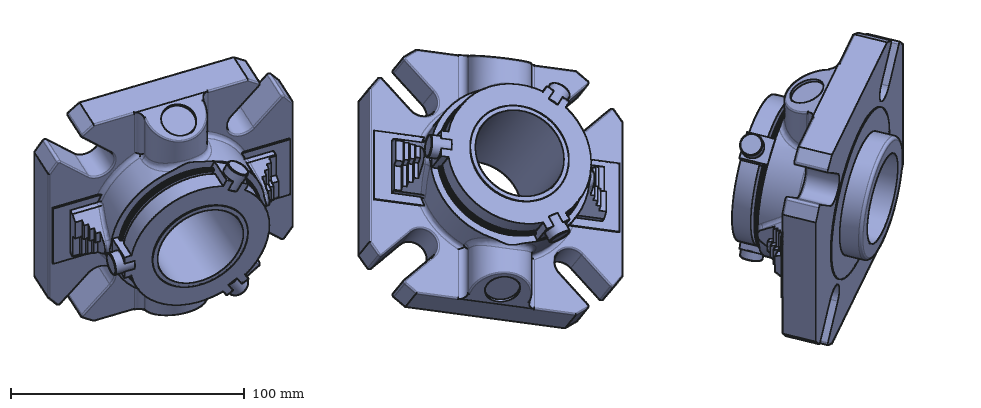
import cadquery as cq
import math

side = 114.3
half = side / 2
plate_thick = 15.4
plate_edge_round = 0.7
slot_radius = 7.1
slot_centre = 33.5
corner_start = 36.0
corner_drop = 0.745
tip_round = 1.1

spigot_disc_dia = 76.0
spigot_disc_thick = 0.5
spigot_dia = 54.9
spigot_end = -10.4
spigot_round = 1.5
sleeve_dia = 44.5
sleeve_end = 47.2
bore_dia = 40.0

hub_radius = 36.0
hub_end = 33.7
hub_base_round = 2.1

boss_radius = 14.0
boss_root = 19.3
boss_flare = 3.2
boss_slope = 21.3
boss_edge_round = 0.7
boss_blend = 2.7
recess_dia = 15.2
recess_x = 23.9
recess_depth = 1.4

rib_top = 47.4
rib_half_width = 12.2
rib_root = 18.9
rib_angle = 35.0
rib_nose_radius = 4.3
step_count = 4
step_size = 2.0
first_step_x = 22.0
first_step_drop = 3.2
step_shift = 2.6
stagger_half = 0.7
pad_outer = 55.3
pad_half_width = 16.0
pad_thick = 0.8
rib_blend = 1.8

seal_dia = 66.4
seal_lips = (34.7, 35.8)
seal_lip_thick = 0.5
collar_dia = 64.9
collar_start = 38.1
collar_end = 46.6
gap_start = 36.6
lug_half_width = 6.0
lug_inner = 30.5
lug_outer = 35.2
screw_count = 3
screw_dia = 10.0
screw_top = 39.7
screw_chamfer = 0.3

buried = 22.9
overlap = 1.1
tolerance = 0.01
overrun = 6.9


def disc(diameter, start, end):
    """Cylinder on the bearing axis between two X positions."""
    return cq.Workplane("YZ", origin=(start, 0, 0)).circle(diameter / 2).extrude(end - start)


def turned(body, angle):
    """Body turned about the bearing axis."""
    return body.rotate((0, 0, 0), (1, 0, 0), angle)


def box(x0, x1, y0, y1, z0, z1):
    """Block between the given limits."""
    return cq.Workplane("XY").box(x1 - x0, y1 - y0, z1 - z0, centered=False).translate((x0, y0, z0))


def make_plate():
    """Square flange with a diagonal open slot and two bevels at every corner."""
    bevel_apex = (half + corner_drop * corner_start) / (1 + corner_drop)
    bevels = [(corner_start, half), (half, half), (half, corner_start), (bevel_apex, bevel_apex)]
    corner = cq.Workplane("YZ").polyline(bevels).close().extrude(plate_thick)
    centre = slot_centre * math.sqrt(2)
    slot = cq.Workplane("YZ").center(centre, 0).circle(slot_radius).extrude(plate_thick)
    slot = slot.union(box(0, plate_thick, centre, side, -slot_radius, slot_radius))
    corner = corner.union(turned(slot, 45))

    plate = cq.Workplane("YZ").rect(side, side).extrude(plate_thick)
    for k in range(4):
        plate = plate.cut(turned(corner, 90 * k))

    tip_low = (half + corner_drop * corner_start - slot_radius * math.sqrt(2)) / (1 + corner_drop)
    tip_high = tip_low + slot_radius * math.sqrt(2)
    for y, z in ((tip_low, tip_high), (tip_high, tip_low)):
        for sy in (-1, 1):
            for sz in (-1, 1):
                tip = cq.selectors.NearestToPointSelector((plate_thick / 2, sy * y, sz * z))
                plate = plate.edges(tip).fillet(tip_round)
    return plate.faces(">X").edges().fillet(plate_edge_round)


def make_hub_root():
    """Concave ring that flares the hub into the flange."""
    root = hub_radius + hub_base_round
    bend = hub_base_round * (1 - math.sqrt(0.5))
    profile = (
        cq.Workplane("XY")
        .lineTo(0, root)
        .lineTo(plate_thick, root)
        .threePointArc((plate_thick + bend, hub_radius + bend), (plate_thick + hub_base_round, hub_radius))
        .lineTo(plate_thick + hub_base_round, 0)
        .close()
    )
    return profile.revolve(360, (0, 0, 0), (1, 0, 0))


def lean_top(body):
    """Slope the top of a +Z boss down from the front edge of the flange."""
    drop = side * math.tan(math.radians(boss_slope))
    above = (
        cq.Workplane("XZ", origin=(0, half, 0))
        .moveTo(plate_thick, half)
        .lineTo(plate_thick + side, half - drop)
        .lineTo(plate_thick + side, half)
        .close()
        .extrude(side)
    )
    return body.cut(above)


def make_boss():
    """U-shaped boss on the +Z side with a shallow round recess in its sloping top."""
    boss = (
        cq.Workplane("XY", origin=(0, 0, buried))
        .moveTo(plate_thick - overlap, -boss_radius)
        .lineTo(boss_root, -boss_radius)
        .threePointArc((boss_root + boss_radius, 0), (boss_root, boss_radius))
        .lineTo(plate_thick - overlap, boss_radius)
        .close()
        .extrude(half - buried)
    )
    boss = lean_top(boss)
    rim = cq.selectors.NearestToPointSelector((boss_root + boss_radius, 0, half))
    boss = boss.edges(rim).fillet(boss_edge_round)

    top_z = half - (recess_x - plate_thick) * math.tan(math.radians(boss_slope))
    recess = (
        cq.Workplane("XY")
        .circle(recess_dia / 2)
        .extrude(-recess_depth)
        .rotate((0, 0, 0), (0, 1, 0), boss_slope)
        .translate((recess_x, 0, top_z))
    )
    return boss.cut(recess)


def make_boss_flare(flank):
    """Concave fillet between the flange and one flank of the +Z boss; flank is -1 or 1."""
    bend = boss_flare * (1 - math.sqrt(0.5))
    wall = flank * boss_radius
    inside = flank * (boss_radius - boss_edge_round)
    flare = (
        cq.Workplane("XY", origin=(0, 0, buried))
        .moveTo(plate_thick - overlap, inside)
        .lineTo(plate_thick - overlap, wall + flank * boss_flare)
        .lineTo(plate_thick, wall + flank * boss_flare)
        .threePointArc((plate_thick + bend, wall + flank * bend), (plate_thick + boss_flare, wall))
        .lineTo(plate_thick + boss_flare, inside)
        .close()
        .extrude(half - buried)
    )
    return lean_top(flare)


def make_rib():
    """Rib on the -Y side: a triangle in X and Z with a rounded nose and a stepped back."""
    slope = math.radians(rib_angle)
    apex_x = rib_root + rib_half_width / math.tan(slope)
    nose_centre = apex_x - rib_nose_radius / math.sin(slope)
    nose_x = nose_centre + rib_nose_radius * math.sin(slope)
    nose_z = rib_nose_radius * math.cos(slope)
    return (
        cq.Workplane("XZ", origin=(0, -buried, 0))
        .moveTo(plate_thick - overlap, -rib_half_width)
        .lineTo(rib_root, -rib_half_width)
        .lineTo(nose_x, -nose_z)
        .threePointArc((nose_centre + rib_nose_radius, 0), (nose_x, nose_z))
        .lineTo(rib_root, rib_half_width)
        .lineTo(plate_thick - overlap, rib_half_width)
        .close()
        .extrude(rib_top - buried)
    )


def cut_steps(body):
    """Cut the staircase into the back of the -Y rib, its two halves staggered along X."""
    for k in range(step_count):
        upper_x = first_step_x + k * step_size
        lower_x = upper_x - step_shift
        level = rib_top - first_step_drop - k * step_size
        step = (
            cq.Workplane("XZ", origin=(0, -level, 0))
            .moveTo(upper_x, half)
            .lineTo(upper_x, stagger_half)
            .lineTo(lower_x, -stagger_half)
            .lineTo(lower_x, -half)
            .lineTo(half, -half)
            .lineTo(half, half)
            .close()
            .extrude(side)
        )
        body = body.cut(step)
    return body


def raise_from_hub(feature, blend):
    """Stand a boss or rib on a plain length of hub and round the joint between them."""
    start = plate_thick - overlap
    end = hub_end + overrun
    body = disc(2 * hub_radius, start, end).union(feature)

    def on_joint(edge):
        points = [edge.positionAt(t) for t in (0.0, 0.25, 0.5, 0.75, 1.0)]
        on_hub = all(abs(math.hypot(p.y, p.z) - hub_radius) < tolerance for p in points)
        ends_short = all(p.x < end - tolerance for p in points)
        leaves_start = any(p.x > start + tolerance for p in points)
        return on_hub and ends_short and leaves_start

    joints = [edge for edge in body.edges().vals() if on_joint(edge)]
    body = body.newObject(joints).fillet(blend)
    return body.intersect(disc(2 * side, 0, hub_end))


def make_housing():
    """Hub with its two bosses, two ribs and the thin pads at the feet of the ribs."""
    boss = raise_from_hub(make_boss(), boss_blend)
    rib = cut_steps(raise_from_hub(make_rib(), rib_blend))
    pad = box(0, plate_thick + pad_thick, -pad_outer, -buried, -pad_half_width, pad_half_width)
    housing = make_hub_root()
    for angle in (0, 180):
        for feature in (boss, make_boss_flare(-1), make_boss_flare(1), rib, pad):
            housing = housing.union(turned(feature, angle))
    return housing


def make_lug():
    """Collar lug on the -Y side with its screw head."""
    lug = box(hub_end, collar_end, -lug_outer, -lug_inner, -lug_half_width, lug_half_width)
    screw_x = sleeve_end - screw_dia / 2
    screw = cq.Workplane("XZ", origin=(screw_x, -lug_inner, 0)).circle(screw_dia / 2)
    screw = screw.extrude(screw_top - lug_inner)
    return lug.union(screw.faces("<Y").edges().chamfer(screw_chamfer))


def make_collar():
    """Seal lips and locking collar joined by three lugs."""
    collar = disc(collar_dia, collar_start, collar_end)
    collar = collar.union(disc(collar_dia, hub_end, gap_start))
    for start in seal_lips:
        collar = collar.union(disc(seal_dia, start, start + seal_lip_thick))
    for k in range(screw_count):
        collar = collar.union(turned(make_lug(), 360 / screw_count * k))
    return collar


def make_sleeve():
    """Spigot, shallow disc on the back of the flange and inner sleeve."""
    spigot = disc(spigot_dia, spigot_end, plate_thick).faces("<X").edges().fillet(spigot_round)
    flat = disc(spigot_disc_dia, -spigot_disc_thick, plate_thick)
    return spigot.union(flat).union(disc(sleeve_dia, 0, sleeve_end))


bore = disc(bore_dia, spigot_end, sleeve_end)
result = make_plate().union(make_housing()).union(make_collar()).union(make_sleeve()).cut(bore)